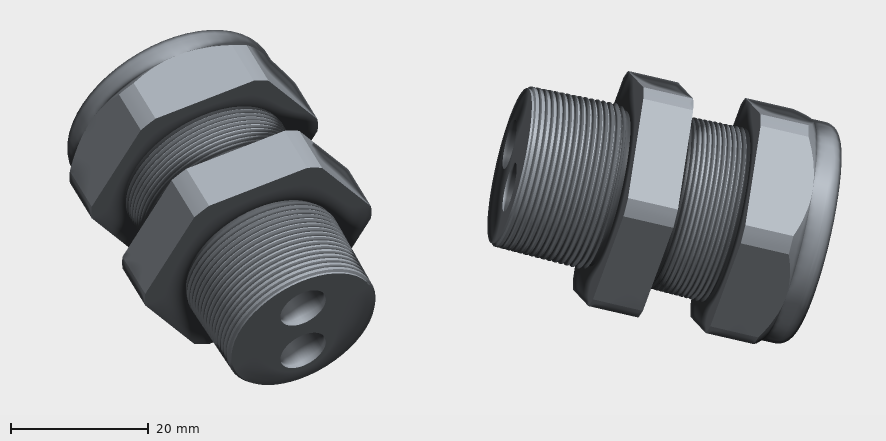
import cadquery as cq
import math


total_length = 45.97
collar_length = 4.2
cap_length = 13.28
flange_start = 23.48
flange_end = 31.04

across_flats = 33.02
corner_diameter = 36.64

collar_radius = across_flats / 2
collar_round = 2.0

flank_slope = math.tan(math.radians(60))
crest_slope = 1 / 32
middle_pitch = 0.762
middle_root_radius = 12.46
middle_teeth = 14
end_pitch = 0.889
end_root_radius = 11.6
end_teeth = 15
neck_length = 0.2
run_in_length = 0.65
run_in_height = 0.55
end_thread_start = flange_end + 1.29

plug_radius = 8.84
mouth_radius = 8.99
mouth_depth = 0.55
cable_hole_radius = 3.68
cable_hole_offset = 5.07


def cylinder(radius, start, end):
    """Solid cylinder along X."""
    return cq.Workplane("YZ", origin=(start, 0, 0)).circle(radius).extrude(end - start)


def hexagon(start, end):
    """Hexagonal prism along X with flats facing +Z and -Z and rounded corners."""
    point_diameter = across_flats / math.cos(math.radians(30))
    prism = cq.Workplane("YZ", origin=(start, 0, 0)).polygon(6, point_diameter).extrude(end - start)
    return prism.intersect(cylinder(corner_diameter / 2, start, end))


def threaded_rod(start, pitch, root_radius, teeth):
    """Solid rod with sharp thread rings that are trimmed by a cone narrowing along X."""
    sharp_height = pitch / 2 * flank_slope
    outline = cq.Workplane("XY").moveTo(start, 0).lineTo(start, root_radius)
    for tooth in range(teeth):
        tooth_start = start + tooth * pitch
        trim = crest_slope * (tooth + 0.5) * pitch
        crest_radius = root_radius + sharp_height - trim
        flank_length = pitch / 2 - trim / flank_slope
        outline = (
            outline.lineTo(tooth_start + flank_length, crest_radius)
            .lineTo(tooth_start + pitch - flank_length, crest_radius)
            .lineTo(tooth_start + pitch, root_radius)
        )
    outline = outline.lineTo(start + teeth * pitch, 0).close()
    return outline.revolve(360, (0, 0, 0), (1, 0, 0))


def neck():
    """Plain neck behind the flange that sweeps up into a first, lower thread ring."""
    crest_position = flange_end + neck_length + run_in_length
    crest_radius = end_root_radius + run_in_height
    outline = (
        cq.Workplane("XY")
        .moveTo(flange_end, 0)
        .lineTo(flange_end, end_root_radius)
        .lineTo(flange_end + neck_length, end_root_radius)
        .tangentArcPoint((crest_position, crest_radius), relative=False)
        .lineTo(crest_position + run_in_height / flank_slope, end_root_radius)
        .lineTo(total_length, end_root_radius)
        .lineTo(total_length, 0)
        .close()
    )
    return outline.revolve(360, (0, 0, 0), (1, 0, 0))


def cap():
    """Hexagonal cap with a 45 degree front chamfer and a rounded collar."""
    chamfer_length = corner_diameter / 2 - collar_radius
    envelope = cylinder(corner_diameter / 2, collar_length, cap_length).faces("<X").chamfer(chamfer_length)
    hex_part = hexagon(collar_length, cap_length).intersect(envelope)
    collar = cylinder(collar_radius, 0, collar_length).faces("<X").edges().fillet(collar_round)
    return collar.union(hex_part)


def make_housing():
    """Cap, middle thread, flange and end thread in one piece, bored for the plug."""
    middle_thread_start = flange_start - middle_teeth * middle_pitch
    body = (
        cap()
        .union(threaded_rod(middle_thread_start, middle_pitch, middle_root_radius, middle_teeth))
        .union(hexagon(flange_start, flange_end))
        .union(neck())
        .union(threaded_rod(end_thread_start, end_pitch, end_root_radius, end_teeth))
    )
    mouth = cylinder(mouth_radius, 0, mouth_depth)
    seat = cylinder(plug_radius, 0, total_length)
    return body.cut(mouth).cut(seat)


def make_plug():
    """Round plug seated level with the floor of the mouth, with two through holes."""
    blank = cylinder(plug_radius, mouth_depth, total_length)
    for side in (-1, 1):
        hole = cylinder(cable_hole_radius, mouth_depth, total_length)
        blank = blank.cut(hole.translate((0, 0, side * cable_hole_offset)))
    return blank


housing = make_housing()
plug = make_plug()

result = cq.Compound.makeCompound([housing.val(), plug.val()])